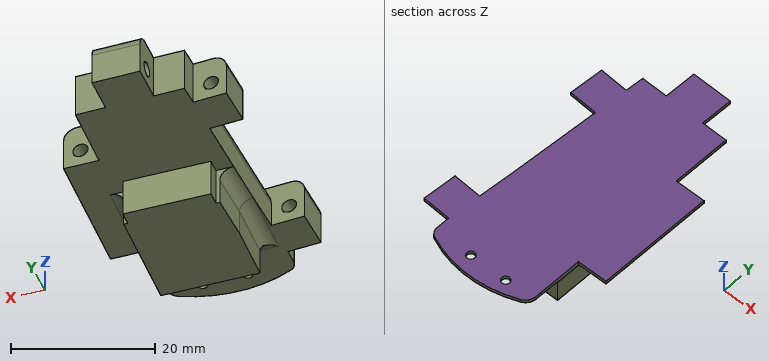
import cadquery as cq
import math

TOTAL_LENGTH = 47.95
PLATE_HEIGHT = 7.1
HALF_WIDTH = 9.3
FRONT_RADIUS = 20.0
FRONT_CORNER_Y = FRONT_RADIUS - math.sqrt(FRONT_RADIUS**2 - HALF_WIDTH**2)
BACK_LEFT_Y = 42.55
EDGE_RADIUS = 2.0
LEFT_CORNER_RADIUS = 1.5

SIDE_TILT = 3.8
SIDE_X, SIDE_Y = -8.87, 11.55
SIDE_ROUND = 3.0
EAR_REACH = 5.0
EAR_LENGTH = 5.95
EAR_GAP = 21.95
EAR_HOLE_REACH = 2.7

BACK_TILT = 1.0
BACK_EAR_OFFSET = 4.55
BACK_EAR_WIDTH = 7.1
BACK_HOLE_REACH = 2.75

WING_X = 14.55
WING_FRONT, WING_BACK = 12.2, 32.2
WING_HOLE_INSET = 2.5

PIN_DIAMETER = 2.2
PIN_Z = 2.7
VENT_DIAMETER = 1.4
VENT_XS = (-2.45, 4.15)
VENT_Y = 2.9

FOOT_DEPTH = 6.05
FOOT_LEFT, FOOT_RIGHT = -6.4, 8.2
FOOT_FRONT, FOOT_BEND, FOOT_BACK = 9.1, 17.85, 24.9
TONGUE_LENGTH = 2.05
TONGUE_INSET = 0.58

sin_side = math.sin(math.radians(SIDE_TILT))
cos_side = math.cos(math.radians(SIDE_TILT))
tan_side = sin_side / cos_side
BACK_CORNER_X = SIDE_X + (BACK_LEFT_Y - SIDE_Y) * tan_side

back_angle = math.radians(BACK_TILT)
back_ear_rise = TOTAL_LENGTH - BACK_LEFT_Y + BACK_EAR_OFFSET * math.sin(back_angle)
BACK_EAR_REACH = back_ear_rise / math.cos(back_angle)


def side_point(along, outward):
    """Point measured along and outward from the slanted left side."""
    return (
        SIDE_X + along * sin_side - outward * cos_side,
        SIDE_Y + along * cos_side + outward * sin_side,
    )


def prism(points):
    return cq.Workplane("XY").polyline(points).close().extrude(PLATE_HEIGHT)


def edge_near(x, y, z):
    return cq.selectors.NearestToPointSelector((x, y, z))


def pin_hole(start, direction, length):
    """Horizontal round hole at pin height, starting at an XY point."""
    return cq.Workplane(
        cq.Solid.makeCylinder(
            PIN_DIAMETER / 2, length, cq.Vector(*start, PIN_Z), cq.Vector(*direction, 0)
        )
    )


def make_front_outline():
    """Sharp-cornered front of the plate, notched to stay clear of the slanted side."""
    notch_x = SIDE_X / 2
    ear_front_y = side_point(-EAR_LENGTH, 0)[1]
    return (
        cq.Workplane("XY")
        .moveTo(-HALF_WIDTH, ear_front_y)
        .lineTo(-HALF_WIDTH, FRONT_CORNER_Y)
        .threePointArc((0, 0), (HALF_WIDTH, FRONT_CORNER_Y))
        .lineTo(HALF_WIDTH, WING_FRONT)
        .lineTo(notch_x, WING_FRONT)
        .lineTo(notch_x, ear_front_y)
        .close()
        .extrude(PLATE_HEIGHT)
    )


def make_front_end():
    """Front of the plate; the round on its top edge runs straight out at the left corner."""
    outline = make_front_outline()
    left_corner = edge_near(-HALF_WIDTH, FRONT_CORNER_Y, PLATE_HEIGHT / 2)
    right_corner = edge_near(HALF_WIDTH, FRONT_CORNER_Y, PLATE_HEIGHT / 2)
    topped = outline.edges(right_corner).fillet(EDGE_RADIUS)
    topped = topped.edges(edge_near(0, 0, PLATE_HEIGHT)).fillet(EDGE_RADIUS)
    return topped.intersect(outline.edges(left_corner).fillet(LEFT_CORNER_RADIUS))


def make_core():
    """Middle and back of the plate; the slanted side carries a large round between the ears."""
    back_drop = (HALF_WIDTH - BACK_CORNER_X) * math.tan(back_angle)
    rounded_part = prism([
        side_point(0, 0),
        side_point(EAR_GAP, 0),
        side_point(EAR_GAP, -HALF_WIDTH),
        side_point(0, -HALF_WIDTH),
    ])
    side_edge = edge_near(*side_point(EAR_GAP / 2, 0), PLATE_HEIGHT)
    rounded_part = rounded_part.edges(side_edge).fillet(SIDE_ROUND)
    rest = prism([
        side_point(0, -2 * SIDE_ROUND),
        side_point(EAR_GAP, -2 * SIDE_ROUND),
        side_point(EAR_GAP, 0),
        (BACK_CORNER_X, BACK_LEFT_Y),
        (HALF_WIDTH, BACK_LEFT_Y - back_drop),
        (HALF_WIDTH, WING_FRONT),
    ])
    return rounded_part.union(rest)


def make_side_ear(along):
    """Ear with a pin hole whose root runs in past the side round."""
    root = -2 * SIDE_ROUND
    outer = side_point(along + EAR_LENGTH / 2, EAR_REACH)
    ear = prism([
        side_point(along, root),
        side_point(along, EAR_REACH),
        side_point(along + EAR_LENGTH, EAR_REACH),
        side_point(along + EAR_LENGTH, root),
    ]).edges(edge_near(*outer, PLATE_HEIGHT)).fillet(EDGE_RADIUS)
    return ear.cut(pin_hole(side_point(along, EAR_HOLE_REACH), (sin_side, cos_side), EAR_LENGTH))


def make_back_ear():
    """Ear with a crosswise pin hole, drawn along the back edge and turned with it."""
    root = -EDGE_RADIUS
    left, right = BACK_EAR_OFFSET, BACK_EAR_OFFSET + BACK_EAR_WIDTH
    ear = prism([(left, root), (left, BACK_EAR_REACH), (right, BACK_EAR_REACH), (right, root)])
    ear = ear.edges(">Y and >Z").fillet(EDGE_RADIUS)
    ear = ear.cut(pin_hole((left, BACK_HOLE_REACH), (1, 0), BACK_EAR_WIDTH))
    return ear.rotate((0, 0, 0), (0, 0, 1), -BACK_TILT).translate((BACK_CORNER_X, BACK_LEFT_Y, 0))


def make_wing():
    wing = prism([(0, WING_FRONT), (WING_X, WING_FRONT), (WING_X, WING_BACK), (0, WING_BACK)])
    wing = wing.edges(">X and >Z").fillet(EDGE_RADIUS)
    return wing.cut(pin_hole((WING_X - WING_HOLE_INSET, WING_FRONT), (0, 1), WING_BACK - WING_FRONT))


def add_foot(plate):
    """Foot with flared front and sides, and a plain tongue behind it."""
    back_left = FOOT_LEFT + (FOOT_BACK - FOOT_BEND) * tan_side
    outline = [
        (FOOT_LEFT, FOOT_FRONT),
        (FOOT_LEFT, FOOT_BEND),
        (back_left, FOOT_BACK),
        (FOOT_RIGHT, FOOT_BACK),
        (FOOT_RIGHT, FOOT_FRONT),
    ]
    foot = cq.Workplane("XY").polyline(outline).close().extrude(-FOOT_DEPTH)
    slab = cq.Workplane("XY").rect(4 * WING_X, 2 * FOOT_BACK).extrude(PLATE_HEIGHT)
    flared = slab.union(foot)
    flare_middles = [
        ((FOOT_LEFT + FOOT_RIGHT) / 2, FOOT_FRONT),
        (FOOT_LEFT, (FOOT_FRONT + FOOT_BEND) / 2),
        ((FOOT_LEFT + back_left) / 2, (FOOT_BEND + FOOT_BACK) / 2),
        (FOOT_RIGHT, (FOOT_FRONT + FOOT_BACK) / 2),
    ]
    flare_edges = flared.edges(edge_near(*flare_middles[0], 0))
    for middle in flare_middles[1:]:
        flare_edges = flare_edges.add(flared.edges(edge_near(*middle, 0)))
    flared = flare_edges.fillet(EDGE_RADIUS)
    footprint = plate.faces("<Z").wires().toPending().extrude(-FOOT_DEPTH, combine=False)
    flared = flared.intersect(footprint)
    tongue_left = back_left + TONGUE_INSET
    tongue_right = FOOT_RIGHT - TONGUE_INSET
    tongue = (
        cq.Workplane("XY")
        .moveTo((tongue_left + tongue_right) / 2, FOOT_BACK + TONGUE_LENGTH / 2)
        .rect(tongue_right - tongue_left, TONGUE_LENGTH)
        .extrude(-FOOT_DEPTH)
    )
    return plate.union(flared).union(tongue)


plate = (
    make_core()
    .union(make_front_end())
    .union(make_side_ear(-EAR_LENGTH))
    .union(make_side_ear(EAR_GAP))
    .union(make_back_ear())
    .union(make_wing())
)
vents = (
    cq.Workplane("XY")
    .pushPoints([(x, VENT_Y) for x in VENT_XS])
    .circle(VENT_DIAMETER / 2)
    .extrude(PLATE_HEIGHT)
)
result = add_foot(plate.cut(vents).clean())